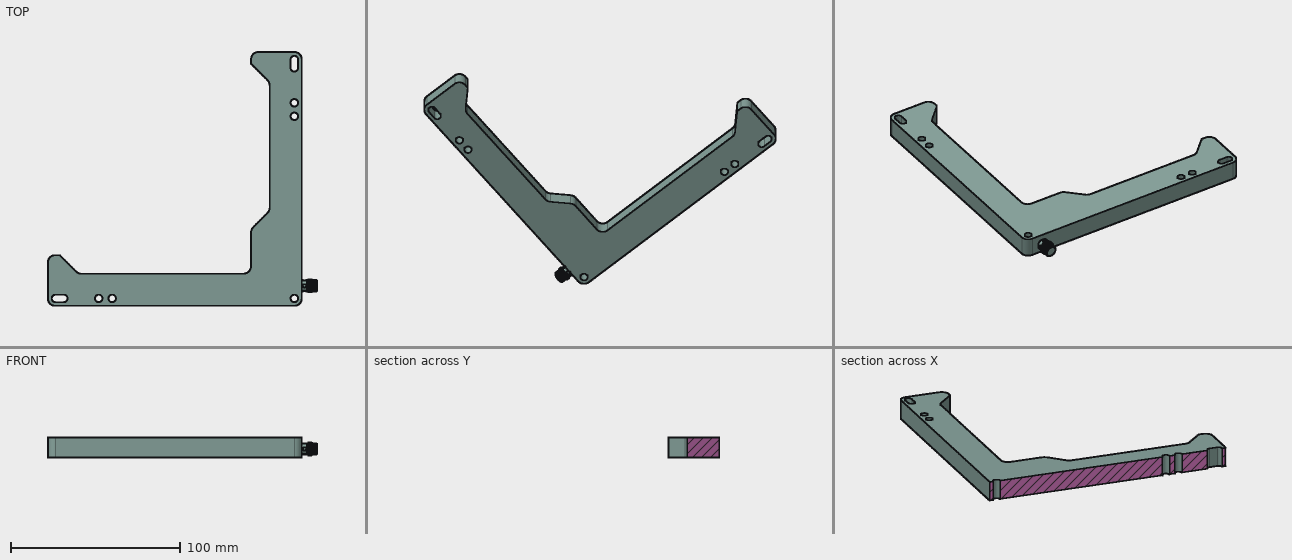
import cadquery as cq
import math

side = 150.0
thickness = 12.0
arm_width = 19.1
pad_width = 30.0
chamfer_run = pad_width - arm_width
tip_length = 7.0
elbow_pad_length = 45.2
corner_radius = 4.5

hole_diameter = 4.3
hole_inset = 4.5
pair_distances = (30.0, 38.0)
slot_length = 9.2
slot_distance = 7.0

connector_y = 12.0
connector_z = 5.1
overall_length = 159
connector_length = overall_length - side
neck_diameter = 6.8
flange_diameter = 8.0
groove_diameter = 6.5
neck_end = 3.0
flange_start = 3.8
flange_groove_start = 4.3
flange_groove_end = 4.6
flange_groove_diameter = 7.6
flange_end = 5.5
taper_end = 6.2
ring_start = 6.7
ring_groove_start = 7.2
ring_groove_end = 7.5
end_chamfer = 0.5
dimple_diameter = 2.0
dimple_depth = 0.5
dimple_x = 1.6


def make_plate():
    inner_x = side - arm_width
    pad_x = side - pad_width
    outline = [
        (0, 0),
        (side, 0),
        (side, side),
        (pad_x, side),
        (pad_x, side - tip_length),
        (inner_x, side - tip_length - chamfer_run),
        (inner_x, elbow_pad_length + chamfer_run),
        (pad_x, elbow_pad_length),
        (pad_x, arm_width),
        (tip_length + chamfer_run, arm_width),
        (tip_length, pad_width),
        (0, pad_width),
    ]
    sharp_corners = [outline[4], outline[10]]
    plate = cq.Workplane("XY").polyline(outline).close().extrude(thickness)

    def is_rounded(edge):
        centre = edge.Center()
        corner_distances = [math.hypot(centre.x - x, centre.y - y) for x, y in sharp_corners]
        return min(corner_distances) > corner_radius / 2

    rounded = [edge for edge in plate.edges("|Z").vals() if is_rounded(edge)]
    return plate.newObject(rounded).fillet(corner_radius)


def cut_mounting_holes(plate):
    hole_x = side - hole_inset
    centres = [(hole_x, hole_inset)]
    for distance in pair_distances:
        centres.append((distance, hole_inset))
        centres.append((hole_x, side - distance))
    holes = cq.Workplane("XY").pushPoints(centres).circle(hole_diameter / 2).extrude(thickness)
    lower_slot = (
        cq.Workplane("XY")
        .center(slot_distance, hole_inset)
        .slot2D(slot_length, hole_diameter)
        .extrude(thickness)
    )
    upper_slot = (
        cq.Workplane("XY")
        .center(hole_x, side - slot_distance)
        .slot2D(slot_length, hole_diameter, 90)
        .extrude(thickness)
    )
    return plate.cut(holes).cut(lower_slot).cut(upper_slot)


def make_connector():
    neck_radius = neck_diameter / 2
    flange_radius = flange_diameter / 2
    groove_radius = groove_diameter / 2
    flange_groove_radius = flange_groove_diameter / 2
    profile = [
        (0, 0),
        (0, neck_radius),
        (neck_end, neck_radius),
        (neck_end, groove_radius),
        (flange_start, groove_radius),
        (flange_start, flange_radius),
        (flange_groove_start, flange_radius),
        (flange_groove_start, flange_groove_radius),
        (flange_groove_end, flange_groove_radius),
        (flange_groove_end, flange_radius),
        (flange_end, flange_radius),
        (taper_end, groove_radius),
        (ring_start, groove_radius),
        (ring_start, neck_radius),
        (ring_groove_start, neck_radius),
        (ring_groove_start, groove_radius),
        (ring_groove_end, groove_radius),
        (ring_groove_end, neck_radius),
        (connector_length - end_chamfer, neck_radius),
        (connector_length, neck_radius - end_chamfer),
        (connector_length, 0),
    ]
    body = cq.Workplane("XY").polyline(profile).close().revolve(360, (0, 0, 0), (1, 0, 0))
    dimple = (
        cq.Workplane("XY", origin=(dimple_x, 0, neck_radius - dimple_depth))
        .circle(dimple_diameter / 2)
        .extrude(neck_radius)
    )
    for angle in (0, 90, 180, 270):
        body = body.cut(dimple.rotate((0, 0, 0), (1, 0, 0), angle))
    return body.translate((side, connector_y, connector_z))


result = cut_mounting_holes(make_plate()).union(make_connector())